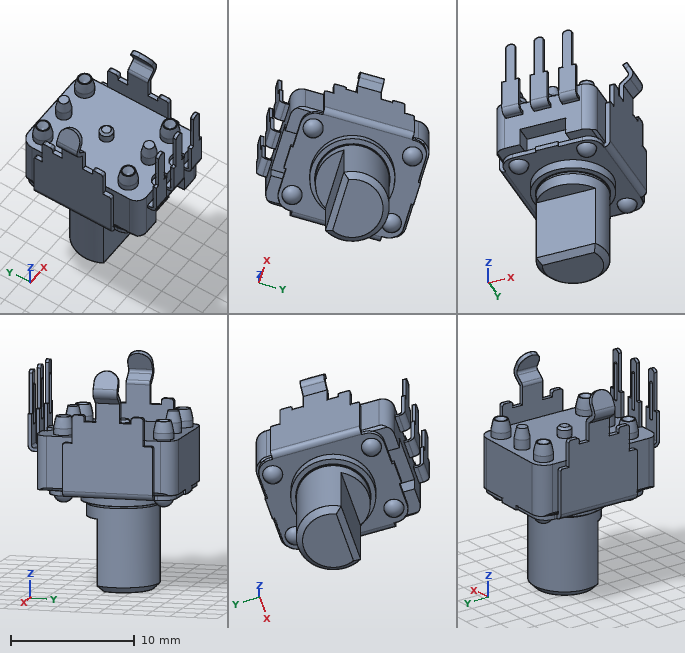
import cadquery as cq
import math


body_width = 8.77
body_back = 5.5
body_front = -6.28
body_top = 4.9
back_corner_radius = 1.2
front_corner_radius = 1.0
side_bevel = 0.22
scallop_radius = 0.8
scallop_depth = 0.45
window_width = 4.04
window_top = 1.93
window_depth = 1.5

post_x = 3.0
post_y = 4.2
post_radius = 0.82
post_straight_height = 0.55
post_height = 1.48
post_tip_radius = 0.6
post_bulge = 0.028
post_dimple_radius = 0.5
post_dimple_depth = 0.56
locator_radius = 0.65
locator_tip_radius = 0.45
locator_height = 1.81
locator_taper_height = 0.94
center_pin_radius = 0.6
center_pin_height = 0.9
center_pin_chamfer = 0.2
rivet_radius = 0.82
rivet_height = 0.73

bushing_radius = 3.46
bushing_bottom = -0.8
collar_radius = 6.11 / 2
collar_top = -0.9
collar_bottom = -1.07
shaft_radius = 6.0 / 2
shaft_bottom = -8.1
shaft_chamfer = 0.5
flat_distance = 1.5
flat_top = -2.1

sheet = 0.4
plate_width = 8.68
plate_half_length = 5.31
plate_corner_radius = 1.25
tongue_width = 1.98
tongue_end = 5.5
wall_outer_x = 4.88
wall_half_length = 3.8
shoulder_z = 4.49
shoulder_radius = 0.19
upper_half_length = 3.0
valley_z = 6.3
ear_top = 6.83
ear_width = 1.03
ear_radius = 0.22
bend_radius = 0.5
tab_width = 2.02
tab_kink_z = 7.98
tab_elbow_x = 5.63
tab_elbow_z = 8.77
tab_tip_x = 4.73
tab_tip_z = 10.51
tab_bend_radius = 0.28
tab_kink_radius = 0.41
tab_tip_radius = 1.0

terminal_pitch = 2.5
terminal_sheet = 0.3
terminal_front = -7.15
terminal_bottom = 3.37
terminal_bend_radius = 0.52
terminal_width = 1.5
terminal_shoulder = 6.43
pin_width = 0.8
pin_top = 10.0
pin_crown = 0.25
rib_radius = 0.19
rib_height = 0.11
rib_bottom = 5.5
rib_top = 8.88
rib_end_chamfer = 0.1


def box(x_range, y_range, z_range):
    """Box spanning three (low, high) ranges."""
    corner = (x_range[0], y_range[0], z_range[0])
    size = [high - low for low, high in (x_range, y_range, z_range)]
    return cq.Workplane("XY").box(*size, centered=False).translate(corner)


def cylinder(radius, bottom, top):
    return cq.Workplane("XY").workplane(offset=bottom).circle(radius).extrude(top - bottom)


def make_body():
    half_width = body_width / 2
    body = box((-half_width, half_width), (body_front, body_back), (sheet, body_top))
    body = body.edges("|Z and >Y").fillet(back_corner_radius)
    body = body.edges("|Z and <Y").fillet(front_corner_radius)

    for side in (-1, 1):
        bevel = (
            cq.Workplane("XZ", origin=(0, body_back, 0))
            .moveTo(side * half_width, sheet)
            .lineTo(side * (half_width - side_bevel), sheet)
            .lineTo(side * half_width, sheet + side_bevel)
            .close()
            .extrude(body_back - body_front)
        )
        body = body.cut(bevel)

    for side in (-1, 1):
        scallop = cylinder(scallop_radius, body_top - scallop_depth, body_top)
        body = body.cut(scallop.translate((side * terminal_pitch / 2, body_front, 0)))

    window = box(
        (-window_width / 2, window_width / 2),
        (body_front, body_front + window_depth),
        (sheet, window_top),
    )
    return body.cut(window)


def make_post():
    """Hollow-tipped corner post with a slightly bulging taper, standing on Z = 0."""
    middle_radius = (post_radius + post_tip_radius) / 2 + post_bulge
    middle_height = (post_straight_height + post_height) / 2
    return (
        cq.Workplane("XZ")
        .lineTo(post_radius, 0)
        .lineTo(post_radius, post_straight_height)
        .threePointArc((middle_radius, middle_height), (post_tip_radius, post_height))
        .lineTo(post_dimple_radius, post_height)
        .lineTo(0, post_height - post_dimple_depth)
        .close()
        .revolve(360, (0, 0, 0), (0, 1, 0))
    )


def make_locator():
    """Pin with a long conical tip, standing on Z = 0."""
    return (
        cq.Workplane("XZ")
        .lineTo(locator_radius, 0)
        .lineTo(locator_radius, locator_height - locator_taper_height)
        .lineTo(locator_tip_radius, locator_height)
        .lineTo(0, locator_height)
        .close()
        .revolve(360, (0, 0, 0), (0, 1, 0))
    )


def make_rivet():
    """Domed head hanging below Z = 0, reaching up to the top of the bracket plate."""
    dome = cq.Workplane("XY").sphere(rivet_radius).translate((0, 0, rivet_radius - rivet_height))
    dome_span = (-rivet_radius, rivet_radius)
    return dome.intersect(box(dome_span, dome_span, (-rivet_height, sheet)))


def make_shaft():
    """Bushing, tapered collar and D-shaped shaft, chamfered all round at the lower end."""
    shaft = cylinder(shaft_radius, shaft_bottom, 0)
    flat = box(
        (-shaft_radius, shaft_radius),
        (-shaft_radius, -flat_distance),
        (shaft_bottom, flat_top),
    )
    shaft = shaft.cut(flat).faces("<Z").edges().chamfer(shaft_chamfer)
    collar = (
        cq.Workplane("XY", origin=(0, 0, collar_top))
        .circle(collar_radius)
        .workplane(offset=collar_bottom - collar_top)
        .circle(shaft_radius)
        .loft()
    )
    shaft = shaft.union(collar)
    return shaft.union(cylinder(bushing_radius, bushing_bottom, 0))


def make_plate():
    plate = (
        cq.Workplane("XY")
        .rect(plate_width, 2 * plate_half_length)
        .extrude(sheet)
        .edges("|Z")
        .fillet(plate_corner_radius)
    )
    tongues = cq.Workplane("XY").rect(tongue_width, 2 * tongue_end).extrude(sheet)
    return plate.union(tongues)


def make_wall():
    """Upright bracket wall on the +X side with its bend, stepped top and corner ears."""
    wall_inner_x = wall_outer_x - sheet
    wall = box((wall_inner_x, wall_outer_x), (-wall_half_length, wall_half_length), (0, shoulder_z))
    wall = wall.edges("|X and >Z").fillet(shoulder_radius)
    foot = box((plate_width / 2 - sheet, wall_outer_x), (-wall_half_length, wall_half_length), (0, sheet))
    wall = wall.union(foot)
    wall = wall.edges("|Y and <Z and >X").fillet(bend_radius)
    inner_bend = cq.selectors.NearestToPointSelector((wall_inner_x, 0, sheet))
    wall = wall.edges(inner_bend).fillet(bend_radius - sheet)

    upper_span = (-upper_half_length, upper_half_length)
    upper = box((wall_inner_x, wall_outer_x), upper_span, (shoulder_z - sheet, valley_z))
    wall = wall.union(upper)
    for side in (-1, 1):
        outer_y = side * upper_half_length
        inner_y = side * (upper_half_length - ear_width)
        ear_span = (min(outer_y, inner_y), max(outer_y, inner_y))
        ear = box((wall_inner_x, wall_outer_x), ear_span, (valley_z - sheet, ear_top))
        wall = wall.union(ear.edges("|X and >Z").fillet(ear_radius))
    return wall


def strip_outline(path, thickness):
    """Closed outline of a strip of constant thickness with mitred corners along a centre path."""
    directions = []
    for start, end in zip(path, path[1:]):
        directions.append(math.atan2(end[1] - start[1], end[0] - start[0]))
    entering = [directions[0]] + directions
    leaving = directions + [directions[-1]]
    left = []
    right = []
    for (x, z), angle_in, angle_out in zip(path, entering, leaving):
        normal = (angle_in + angle_out) / 2 + math.pi / 2
        reach = thickness / 2 / math.cos((angle_out - angle_in) / 2)
        dx = reach * math.cos(normal)
        dz = reach * math.sin(normal)
        left.append((x + dx, z + dz))
        right.append((x - dx, z - dz))
    return left + right[::-1]


def make_tab():
    """Kinked snap-in tab rising from the +X wall, with a fully rounded tip."""
    wall_middle_x = wall_outer_x - sheet / 2
    path = [
        (wall_middle_x, valley_z - sheet),
        (wall_middle_x, tab_kink_z),
        (tab_elbow_x, tab_elbow_z),
        (tab_tip_x, tab_tip_z),
    ]
    tab = (
        cq.Workplane("XZ", origin=(0, tab_width / 2, 0))
        .polyline(strip_outline(path, sheet))
        .close()
        .extrude(tab_width)
    )
    for corner_x, corner_z, radius in (
        (tab_elbow_x + sheet / 2, tab_elbow_z, tab_bend_radius + sheet),
        (tab_elbow_x - sheet / 2, tab_elbow_z, tab_bend_radius),
        (wall_middle_x - sheet / 2, tab_kink_z, tab_kink_radius),
    ):
        corner = cq.selectors.NearestToPointSelector((corner_x, 0, corner_z))
        tab = tab.edges(corner).fillet(radius)

    for side in (-1, 1):
        corner = cq.selectors.NearestToPointSelector((tab_tip_x, side * tab_width / 2, tab_tip_z))
        tab = tab.edges(corner).fillet(tab_tip_radius)
    return tab


def make_terminal():
    """Flat pin terminal centred on X = 0, bent back into the front of the body."""
    back = terminal_front + terminal_sheet
    half_width = terminal_width / 2
    half_pin = pin_width / 2
    leg = box(
        (-half_width, half_width),
        (terminal_front, body_front + terminal_sheet),
        (terminal_bottom, terminal_bottom + terminal_sheet),
    )
    blade = box((-half_width, half_width), (terminal_front, back), (terminal_bottom, terminal_shoulder))
    terminal = leg.union(blade)
    terminal = terminal.edges("|X and <Z and <Y").fillet(terminal_bend_radius)
    inner_bend = cq.selectors.NearestToPointSelector((0, back, terminal_bottom + terminal_sheet))
    terminal = terminal.edges(inner_bend).fillet(terminal_bend_radius - terminal_sheet)

    pin = (
        cq.Workplane("XZ", origin=(0, back, 0))
        .moveTo(-half_pin, terminal_shoulder - terminal_sheet)
        .lineTo(-half_pin, pin_top - pin_crown)
        .threePointArc((0, pin_top), (half_pin, pin_top - pin_crown))
        .lineTo(half_pin, terminal_shoulder - terminal_sheet)
        .close()
        .extrude(terminal_sheet)
    )
    rib = cylinder(rib_radius, rib_bottom, rib_top).faces("<Z or >Z").chamfer(rib_end_chamfer)
    rib = rib.translate((0, back + rib_height - rib_radius, 0))
    rib = rib.intersect(box((-rib_radius, rib_radius), (terminal_front, body_back), (0, pin_top)))
    return terminal.union(pin).union(rib)


result = make_body().union(make_plate()).union(make_shaft())

post = make_post()
rivet = make_rivet()
for x in (-post_x, post_x):
    for y in (-post_y, post_y):
        result = result.union(post.translate((x, y, body_top)))
        result = result.union(rivet.translate((x, y, 0)))

locator = make_locator()
for y in (-post_y, post_y):
    result = result.union(locator.translate((0, y, body_top)))

center_pin = cylinder(center_pin_radius, body_top, body_top + center_pin_height)
result = result.union(center_pin.faces(">Z").chamfer(center_pin_chamfer))

wall = make_wall().union(make_tab())
result = result.union(wall).union(wall.mirror("YZ"))

terminal = make_terminal()
for index in (-1, 0, 1):
    result = result.union(terminal.translate((index * terminal_pitch, 0, 0)))